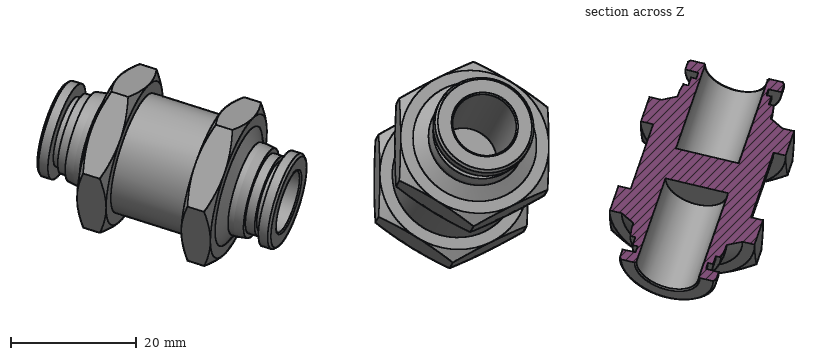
import cadquery as cq
import math

LENGTH = 40.1
END_FACE = -LENGTH / 2
BODY_RADIUS = 10.0

COLLAR_RADIUS = 8.0
COLLAR_WIDTH = 2.0
COLLAR_BACK_DRAFT = 0.06
COLLAR_CHAMFER = 0.4

NECK_RADIUS = 5.85
NECK_END = 3.15
STEP_RADIUS = 6.7
STEP_END = 4.75
CAP_RADIUS = 7.75
CAP_TIP_RADIUS = 7.5
CAP_TAPER_END = 6.3
CAP_END = 7.3

HEX_SIDES = 6
NUT_START = 8.6
NUT_WIDTH = 5.0
NUT_ACROSS_FLATS = 24.0
NUT_CHAMFER_ANGLE = 30.0
NUT_ACROSS_CORNERS = NUT_ACROSS_FLATS / math.cos(math.pi / HEX_SIDES)

BORE_RADIUS = 5.15
BORE_MOUTH_RADIUS = 5.4
BORE_CHAMFER = 0.25
BORE_DEPTH = 17.0


def revolve_about_x(points):
    """Revolve a closed (x, radius) outline about the X axis."""
    return cq.Workplane("XY").polyline(points).close().revolve(360, (0, 0, 0), (1, 0, 0))


def half_body():
    """Stepped body of the -X half, from the end face to the middle plane."""
    return revolve_about_x([
        (END_FACE, 0),
        (END_FACE, COLLAR_RADIUS - COLLAR_CHAMFER),
        (END_FACE + COLLAR_CHAMFER, COLLAR_RADIUS),
        (END_FACE + COLLAR_WIDTH, COLLAR_RADIUS),
        (END_FACE + COLLAR_WIDTH + COLLAR_BACK_DRAFT, NECK_RADIUS),
        (END_FACE + NECK_END, NECK_RADIUS),
        (END_FACE + NECK_END, STEP_RADIUS),
        (END_FACE + STEP_END, STEP_RADIUS),
        (END_FACE + STEP_END, CAP_TIP_RADIUS),
        (END_FACE + CAP_TAPER_END, CAP_RADIUS),
        (END_FACE + CAP_END, CAP_RADIUS),
        (END_FACE + NUT_START, BODY_RADIUS),
        (0, BODY_RADIUS),
        (0, 0),
    ])


def nut():
    """Hexagon nut with corners along Z, chamfered conically on both faces."""
    near_face = END_FACE + NUT_START
    far_face = near_face + NUT_WIDTH
    hexagon = (
        cq.Workplane("YZ", origin=(near_face, 0, 0))
        .polygon(HEX_SIDES, NUT_ACROSS_CORNERS)
        .extrude(NUT_WIDTH)
        .rotate((0, 0, 0), (1, 0, 0), 90)
    )
    face_radius = NUT_ACROSS_FLATS / 2
    corner_radius = NUT_ACROSS_CORNERS / 2
    chamfer_depth = (corner_radius - face_radius) * math.tan(math.radians(NUT_CHAMFER_ANGLE))
    envelope = revolve_about_x([
        (near_face, 0),
        (near_face, face_radius),
        (near_face + chamfer_depth, corner_radius),
        (far_face - chamfer_depth, corner_radius),
        (far_face, face_radius),
        (far_face, 0),
    ])
    return hexagon.intersect(envelope)


def socket():
    """Cutter for the blind tube socket with its chamfered mouth."""
    return revolve_about_x([
        (END_FACE, 0),
        (END_FACE, BORE_MOUTH_RADIUS),
        (END_FACE + BORE_CHAMFER, BORE_RADIUS),
        (END_FACE + BORE_DEPTH, BORE_RADIUS),
        (END_FACE + BORE_DEPTH, 0),
    ])


half = half_body().union(nut()).cut(socket())
result = half.union(half.mirror("YZ"))